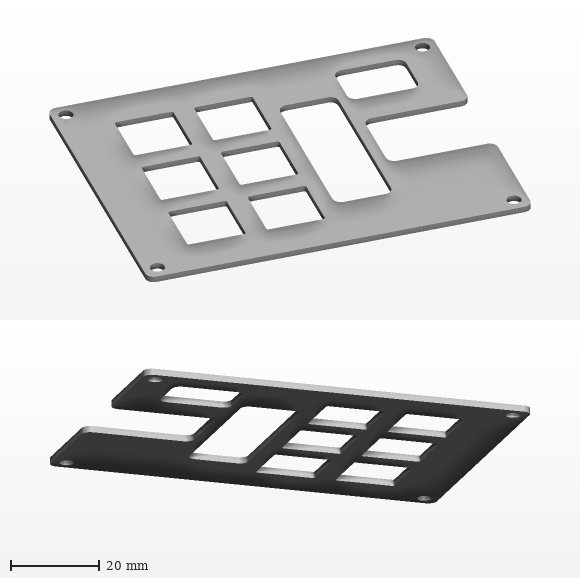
import cadquery as cq

width = 71.9
length = 92.3
thickness = 1.5
corner_radius = 2.0

screw_diameter = 3.4
screw_inset = 3.4

slot_width = 18.2
slot_depth = 25.6

small_window_width = 12.1
small_window_length = 17.0
small_window_x = -23.5
small_window_y = 28.7

wide_window_width = 41.2
wide_window_length = 14.0
wide_window_x = 0.4
wide_window_y = 10.8

key_size = 14.0
key_radius = 0.5
key_pitch = 19.0
key_columns = 3
key_rows = 2
key_grid_y = -16.8


def rounded_block(size_x, size_y, radius):
    """Plate-thick rectangle with rounded corners, standing on Z = 0."""
    block = cq.Workplane("XY").rect(size_x, size_y).extrude(thickness)
    return block.edges("|Z").fillet(radius)


def slotted_plate():
    """Plate outline with the slot; all its corners share one radius."""
    slot_floor_y = length / 2 - slot_depth
    outline = (
        cq.Workplane("XY")
        .moveTo(-width / 2, -length / 2)
        .lineTo(width / 2, -length / 2)
        .lineTo(width / 2, length / 2)
        .lineTo(slot_width / 2, length / 2)
        .lineTo(slot_width / 2, slot_floor_y)
        .lineTo(-slot_width / 2, slot_floor_y)
        .lineTo(-slot_width / 2, length / 2)
        .lineTo(-width / 2, length / 2)
        .close()
    )
    return outline.extrude(thickness).edges("|Z").fillet(corner_radius)


def screw_holes():
    """Cutters for the four corner screw holes."""
    spacing_x = width - 2 * screw_inset
    spacing_y = length - 2 * screw_inset
    corners = cq.Workplane("XY").rect(spacing_x, spacing_y, forConstruction=True).vertices()
    return corners.circle(screw_diameter / 2).extrude(thickness)


def cut_windows(plate):
    """Cut the small and the wide window."""
    small = rounded_block(small_window_width, small_window_length, corner_radius)
    wide = rounded_block(wide_window_width, wide_window_length, corner_radius)
    plate = plate.cut(small.translate((small_window_x, small_window_y, 0)))
    return plate.cut(wide.translate((wide_window_x, wide_window_y, 0)))


def cut_keys(plate):
    """Cut the grid of key openings."""
    key = rounded_block(key_size, key_size, key_radius)
    for column in range(key_columns):
        for row in range(key_rows):
            x = (column - (key_columns - 1) / 2) * key_pitch
            y = key_grid_y + (row - (key_rows - 1) / 2) * key_pitch
            plate = plate.cut(key.translate((x, y, 0)))
    return plate


result = cut_keys(cut_windows(slotted_plate().cut(screw_holes())))